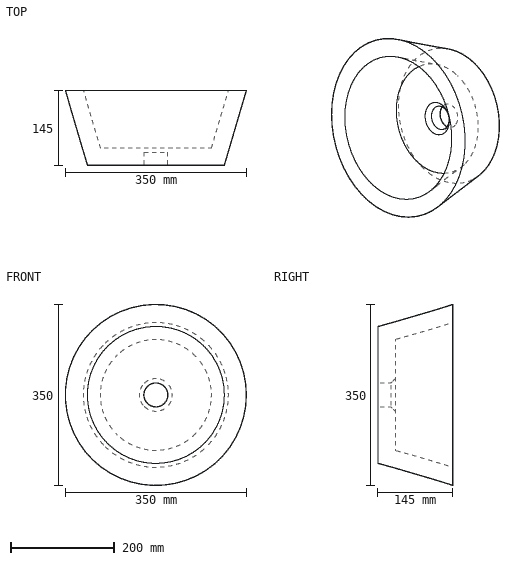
import cadquery as cq
import math

large_diameter = 350.0
small_diameter = 264.5
length = 145.0
bore_diameter = 46.0
wall = 33.5
bore_chamfer = 8.8

large_radius = large_diameter / 2
small_radius = small_diameter / 2
bore_radius = bore_diameter / 2

slope = (large_radius - small_radius) / length
radial_wall = wall * math.hypot(1, slope)
cavity_mouth_radius = large_radius - radial_wall
cavity_floor_radius = small_radius + slope * wall - radial_wall

half_section = (
    cq.Workplane("XY")
    .moveTo(bore_radius, 0)
    .lineTo(small_radius, 0)
    .lineTo(large_radius, length)
    .lineTo(cavity_mouth_radius, length)
    .lineTo(cavity_floor_radius, wall)
    .lineTo(bore_radius + bore_chamfer, wall)
    .lineTo(bore_radius, wall - bore_chamfer)
    .close()
)

result = half_section.revolve(360, (0, 0, 0), (0, 1, 0))